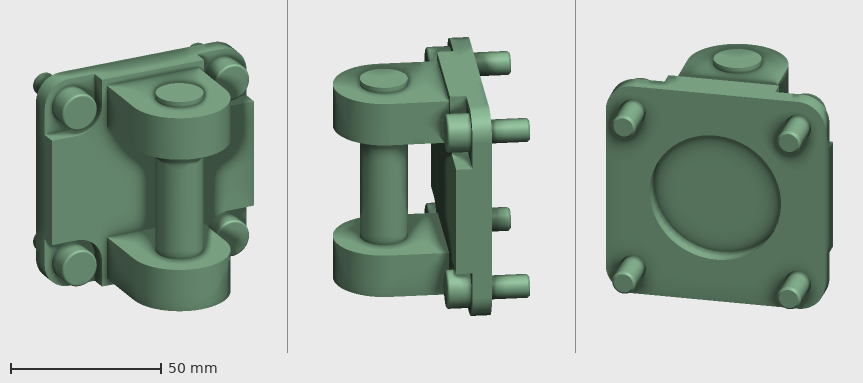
import cadquery as cq
import math

PLATE_SIDE = 75.0
PLATE_THICKNESS = 12.0
RECESS_DIAMETER = 45.0
RECESS_DEPTH = 7.0

BOLT_CIRCLE_DIAMETER = 80.0
SCREW_DIAMETER = 8.0
SCREW_LENGTH = 20.0
SCREW_TIP_CHAMFER = 0.75
HEAD_DIAMETER = 13.0
HEAD_HEIGHT = SCREW_DIAMETER
HEAD_EDGE_RADIUS = 0.8
CLEARANCE_HOLE_DIAMETER = 9.0
SCREW_OFFSET = BOLT_CIRCLE_DIAMETER / 2 / math.sqrt(2)

CORNER_RADIUS = PLATE_SIDE / 2 - SCREW_OFFSET
SEAT_THICKNESS = 6.5
NOTCH_RADIUS = 9.35

LUG_GAP = 40.0
LUG_THICKNESS = 15.0
LUG_RADIUS = 17.0
PIN_X = 32.0
PIN_DIAMETER = 16.0
PIN_LENGTH = 74.0

SCREW_POSITIONS = [(y, z) for y in (-SCREW_OFFSET, SCREW_OFFSET) for z in (-SCREW_OFFSET, SCREW_OFFSET)]


def make_corner_notch(y, z):
    """Cutter open to both plate edges, rounded about the screw axis on its inner corner."""
    reach = CORNER_RADIUS + NOTCH_RADIUS
    y_side = math.copysign(1, y)
    z_side = math.copysign(1, z)
    center_y = y_side * (PLATE_SIDE - reach) / 2
    center_z = z_side * (PLATE_SIDE - reach) / 2
    inner_edge = f"{'<' if y > 0 else '>'}Y and {'<' if z > 0 else '>'}Z"
    block = (
        cq.Workplane("YZ", origin=(SEAT_THICKNESS, center_y, center_z))
        .rect(reach, reach)
        .extrude(PLATE_THICKNESS - SEAT_THICKNESS)
    )
    return block.edges(inner_edge).fillet(NOTCH_RADIUS)


def make_plate():
    plate = (
        cq.Workplane("YZ")
        .rect(PLATE_SIDE, PLATE_SIDE)
        .extrude(PLATE_THICKNESS)
        .edges("|X")
        .fillet(CORNER_RADIUS)
    )
    recess = cq.Workplane("YZ").circle(RECESS_DIAMETER / 2).extrude(RECESS_DEPTH)
    holes = (
        cq.Workplane("YZ")
        .pushPoints(SCREW_POSITIONS)
        .circle(CLEARANCE_HOLE_DIAMETER / 2)
        .extrude(PLATE_THICKNESS)
    )
    plate = plate.cut(recess).cut(holes)
    for y, z in SCREW_POSITIONS:
        plate = plate.cut(make_corner_notch(y, z))
    return plate


def make_lug(bottom_z):
    """Tongue standing on the plate's front face, rounded about the pin axis."""
    return (
        cq.Workplane("XY", origin=(0, 0, bottom_z))
        .moveTo(PLATE_THICKNESS, -LUG_RADIUS)
        .lineTo(PIN_X, -LUG_RADIUS)
        .threePointArc((PIN_X + LUG_RADIUS, 0), (PIN_X, LUG_RADIUS))
        .lineTo(PLATE_THICKNESS, LUG_RADIUS)
        .close()
        .extrude(LUG_THICKNESS)
    )


def make_bracket():
    """Plate, lugs and pin form a single body."""
    pin = cq.Workplane("XY", origin=(PIN_X, 0, -PIN_LENGTH / 2)).circle(PIN_DIAMETER / 2).extrude(PIN_LENGTH)
    bracket = make_plate()
    for bottom_z in (LUG_GAP / 2, -LUG_GAP / 2 - LUG_THICKNESS):
        bracket = bracket.union(make_lug(bottom_z))
    return bracket.union(pin)


def make_screw(y, z):
    """Cap screw along X, its head seated on the thinned plate corner."""
    seat = cq.Workplane("YZ", origin=(SEAT_THICKNESS, y, z))
    head = seat.circle(HEAD_DIAMETER / 2).extrude(HEAD_HEIGHT).faces(">X").edges().fillet(HEAD_EDGE_RADIUS)
    shank = seat.circle(SCREW_DIAMETER / 2).extrude(-SCREW_LENGTH).faces("<X").edges().chamfer(SCREW_TIP_CHAMFER)
    return head.union(shank)


bracket = make_bracket()
screws = [make_screw(y, z) for y, z in SCREW_POSITIONS]

result = cq.Compound.makeCompound([bracket.val(), *[screw.val() for screw in screws]])